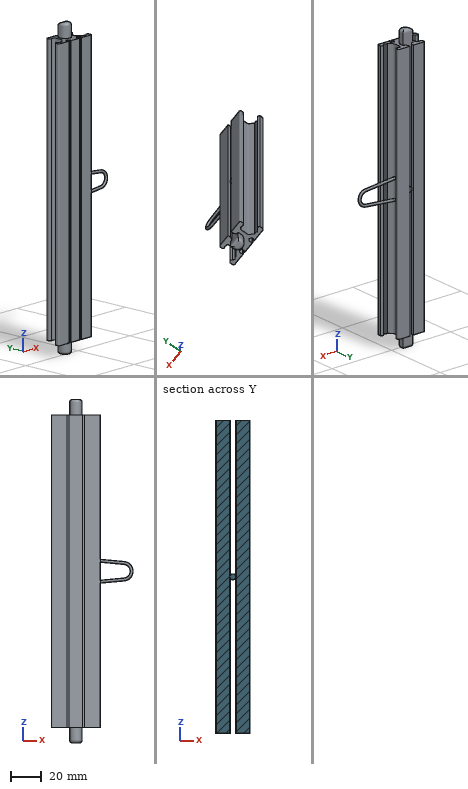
import cadquery as cq
import math

RAIL_LENGTH = 204.0
RAIL_DEPTH = 15.7
BASE_WIDTH = 32.0
FLANGE_WIDTH = 22.4
FLANGE_THICKNESS = 3.2
FLANGE_LIP_EDGE_Y = 13.3
FLANGE_LIP_WIDTH = 1.6
FLANGE_LIP_TIP_Y = 12.4
WEB_WIDTH = 13.4
FLANGE_CORNER_RADIUS = 1.0
BASE_CORNER_RADIUS = 1.2

WEB_HEAD_RADIUS = 1.2
WEB_FOOT_Y = 6.9
WEB_FOOT_RADIUS = 2.5
SLOPE_ANGLE = math.radians(45)
CHANNEL_FLOOR_Y = 2.8
CHANNEL_FLOOR_END_X = 11.2
TROUGH_X = 12.2
TROUGH_Y = 2.1
BASE_LIP_WIDTH = 2.6
BASE_LIP_PEAK_Y = 3.9
BASE_LIP_EDGE_Y = 3.0

GROOVE_SPACING = 10.1
GROOVE_DIAMETER = 2.8
GROOVE_CENTRE_Y = 1.9
GROOVE_MOUTH_WIDTH = 1.2

SLOT_WIDTH = 3.2
SLOT_MOUTH_DEPTH = 2.0
SLOT_FLARE_WIDTH = 5.6

ROD_LENGTH = 224.0
ROD_WIDTH = 8.2
ROD_AXIS_Y = 9.15
ROD_FLAT_Y = 11.85
ROD_TIP_RADIUS = 2.0

STUD_DIAMETER = 4.0
STUD_END_Y = 14.3
STUD_END_RADIUS = 1.0

WIRE_DIAMETER = 2.0
WIRE_Y = 6.4
LOOP_END_X = 37.33
LOOP_BEND_RADIUS = 5.4
LOOP_LEG_ANGLE = math.radians(5.3)
LOOP_ROOT_X = 3.0


def rail_half():
    """Half of the rail section on the +X side, extruded to full length."""
    base_x = BASE_WIDTH / 2
    base_lip_peak = (base_x - BASE_LIP_WIDTH / 2, BASE_LIP_PEAK_Y)
    base_lip_root = (base_x - BASE_LIP_WIDTH, BASE_LIP_EDGE_Y)
    flange_x = FLANGE_WIDTH / 2
    flange_lip_tip = (flange_x - FLANGE_LIP_WIDTH / 2, FLANGE_LIP_TIP_Y)
    flange_underside_y = RAIL_DEPTH - FLANGE_THICKNESS
    web_x = WEB_WIDTH / 2
    slope_top_x = web_x + WEB_FOOT_RADIUS * (1 - math.cos(SLOPE_ANGLE))
    slope_top_y = WEB_FOOT_Y - WEB_FOOT_RADIUS * math.sin(SLOPE_ANGLE)
    slope_foot_x = slope_top_x + (slope_top_y - CHANNEL_FLOOR_Y) / math.tan(SLOPE_ANGLE)
    outline = (
        cq.Workplane("XY", origin=(0, 0, -RAIL_LENGTH / 2))
        .moveTo(0, 0)
        .lineTo(base_x - BASE_CORNER_RADIUS, 0)
        .radiusArc((base_x, BASE_CORNER_RADIUS), -BASE_CORNER_RADIUS)
        .lineTo(base_x, BASE_LIP_EDGE_Y)
        .threePointArc(base_lip_peak, base_lip_root)
        .lineTo(TROUGH_X, TROUGH_Y)
        .lineTo(CHANNEL_FLOOR_END_X, CHANNEL_FLOOR_Y)
        .lineTo(slope_foot_x, CHANNEL_FLOOR_Y)
        .lineTo(slope_top_x, slope_top_y)
        .radiusArc((web_x, WEB_FOOT_Y), WEB_FOOT_RADIUS)
        .lineTo(web_x, flange_underside_y - WEB_HEAD_RADIUS)
        .radiusArc((web_x + WEB_HEAD_RADIUS, flange_underside_y), WEB_HEAD_RADIUS)
        .lineTo(flange_x - FLANGE_LIP_WIDTH, flange_underside_y)
        .threePointArc(flange_lip_tip, (flange_x, FLANGE_LIP_EDGE_Y))
        .lineTo(flange_x, RAIL_DEPTH - FLANGE_CORNER_RADIUS)
        .radiusArc((flange_x - FLANGE_CORNER_RADIUS, RAIL_DEPTH), -FLANGE_CORNER_RADIUS)
        .lineTo(0, RAIL_DEPTH)
        .close()
    )
    return outline.extrude(RAIL_LENGTH)


def base_groove(x):
    """Cutter for one keyhole-shaped groove in the base."""
    plane = cq.Workplane("XY", origin=(x, 0, -RAIL_LENGTH / 2))
    channel = plane.center(0, GROOVE_CENTRE_Y).circle(GROOVE_DIAMETER / 2).extrude(RAIL_LENGTH)
    mouth = (
        plane.center(0, GROOVE_CENTRE_Y / 2)
        .rect(GROOVE_MOUTH_WIDTH, GROOVE_CENTRE_Y)
        .extrude(RAIL_LENGTH)
    )
    return channel.union(mouth)


def flange_slot():
    """Cutter for the slot that opens the rod bore through the flange."""
    mouth_y = RAIL_DEPTH - SLOT_MOUTH_DEPTH
    return (
        cq.Workplane("XY", origin=(0, 0, -RAIL_LENGTH / 2))
        .polyline(
            [
                (-SLOT_WIDTH / 2, RAIL_DEPTH),
                (-SLOT_WIDTH / 2, mouth_y),
                (-SLOT_FLARE_WIDTH / 2, ROD_FLAT_Y),
                (SLOT_FLARE_WIDTH / 2, ROD_FLAT_Y),
                (SLOT_WIDTH / 2, mouth_y),
                (SLOT_WIDTH / 2, RAIL_DEPTH),
            ]
        )
        .close()
        .extrude(RAIL_LENGTH)
    )


def rail():
    """Full symmetric rail with its base grooves and flange slot cut."""
    half = rail_half()
    body = half.union(half.mirror("YZ"))
    for x in (-GROOVE_SPACING / 2, GROOVE_SPACING / 2):
        body = body.cut(base_groove(x))
    return body.cut(flange_slot())


def rod():
    """Rod that is half-round at the front, straight-sided up to the flat and rounded at both tips."""
    radius = ROD_WIDTH / 2
    section = (
        cq.Workplane("XY", origin=(0, 0, -ROD_LENGTH / 2))
        .moveTo(-radius, ROD_AXIS_Y)
        .threePointArc((0, ROD_AXIS_Y - radius), (radius, ROD_AXIS_Y))
        .lineTo(radius, ROD_FLAT_Y)
        .lineTo(-radius, ROD_FLAT_Y)
        .close()
    )
    return section.extrude(ROD_LENGTH).faces("<Z or >Z").edges().fillet(ROD_TIP_RADIUS)


def stud():
    """Stud along Y with a rounded end."""
    return (
        cq.Workplane("XZ", origin=(0, ROD_AXIS_Y, 0))
        .circle(STUD_DIAMETER / 2)
        .extrude(ROD_AXIS_Y - STUD_END_Y)
        .faces(">Y")
        .edges()
        .fillet(STUD_END_RADIUS)
    )


def wire_loop():
    """Round wire: two legs converging on a tangent bend."""
    bend_apex_x = LOOP_END_X - WIRE_DIAMETER / 2
    bend_x = bend_apex_x - LOOP_BEND_RADIUS
    tangent_x = bend_x + LOOP_BEND_RADIUS * math.sin(LOOP_LEG_ANGLE)
    tangent_z = LOOP_BEND_RADIUS * math.cos(LOOP_LEG_ANGLE)
    root_z = tangent_z + (tangent_x - LOOP_ROOT_X) * math.tan(LOOP_LEG_ANGLE)
    path = (
        cq.Workplane("XZ", origin=(0, WIRE_Y, 0))
        .moveTo(LOOP_ROOT_X, root_z)
        .lineTo(tangent_x, tangent_z)
        .threePointArc((bend_apex_x, 0), (tangent_x, -tangent_z))
        .lineTo(LOOP_ROOT_X, -root_z)
    )
    leg_direction = (math.cos(LOOP_LEG_ANGLE), 0, -math.sin(LOOP_LEG_ANGLE))
    start = cq.Plane(origin=(LOOP_ROOT_X, WIRE_Y, root_z), xDir=(0, 1, 0), normal=leg_direction)
    return cq.Workplane(start).circle(WIRE_DIAMETER / 2).sweep(path)


result = rail().union(rod()).union(stud()).union(wire_loop())